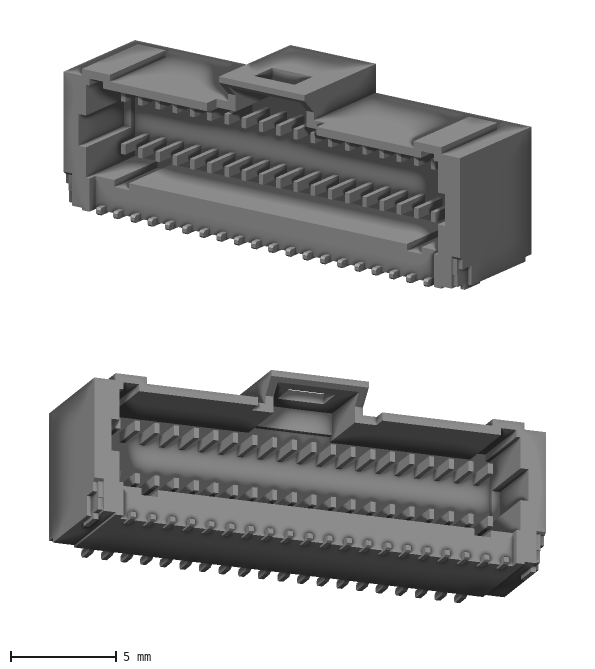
import cadquery as cq


length = 23.0
depth = 5.89
body_top = 6.8
body_bottom = 0.1
end_bottom = 0.2
end_step_width = 1.08
rear_notch_depth = 0.48
rear_notch_top = 0.44

cavity_width = 20.42
cavity_floor = 1.75
cavity_top = 6.4
cavity_depth = 4.05
side_groove_width = 21.25
side_groove_depth = 3.73
side_groove_bottom = 3.27
side_groove_top = 4.85
sill_recess = 0.5
sill_width = 20.0

rib_center = 9.61
rib_width = 1.6
rib_length = 4.6
rib_top = 7.15
keyway_width = 0.78
keyway_top = 6.75
floor_keyway_center = 8.49
floor_keyway_width = 0.85
floor_keyway_bottom = 1.4

tower_width = 4.97
tower_top = 8.25
lip_height = 0.3
undercut_depth = 0.75
tunnel_width = 4.15
tunnel_top = 7.75
tunnel_depth = 3.73
tunnel_step = 6.67
notch_width = 6.35
window_width = 2.35
window_front = 1.04
window_rear = 2.55

contact_count = 20
row_span = 19.0
pitch = row_span / (contact_count - 1)
contact_width = 0.25
pin_tip = 2.07
pin_height = 0.5
pin_bottoms = (2.5, 5.13)
pin_embed = 0.23
tail_height = 0.37
rear_tail_end = 6.5
tail_bend = 0.23
tail_bend_rise = 0.12
tail_chamfer = 0.1

pocket_width = 0.48
pocket_depth = 0.97
pocket_top = 1.2
slot_depth = 0.2
slot_top = 1.68
slot_chamfer = 0.14
nail_thickness = 0.25
nail_front = 0.14
hook_front = 0.07
hook_bottom = 0.9
plate_bottom = 0.3
foot_front = 0.71
foot_rear = 1.98
foot_height = 0.2


def block(x_range, y_range, z_range):
    """Axis-aligned box given by its limits along each axis."""
    size = [high - low for low, high in (x_range, y_range, z_range)]
    corner = (x_range[0], y_range[0], z_range[0])
    return cq.Workplane("XY").box(*size, centered=False).translate(corner)


def centered_block(width, y_range, z_range, center=0.0):
    """Box of the given width, centred at X = center."""
    return block((center - width / 2, center + width / 2), y_range, z_range)


def side_extrusion(points, width, center=0.0):
    """Extrude a (Y, Z) outline along X, centred at X = center."""
    solid = cq.Workplane("YZ").polyline(points).close().extrude(width / 2, both=True)
    return solid.translate((center, 0, 0))


def make_shell():
    """Outer block with its ribs, tower, raised ends and rear notch."""
    shell = centered_block(length, (0, depth), (body_bottom, body_top))
    shell = shell.union(centered_block(tower_width, (0, depth), (body_bottom, tower_top)))
    for side in (-1, 1):
        rib = centered_block(rib_width, (0, rib_length), (cavity_top, rib_top), side * rib_center)
        end_center = side * (length - end_step_width) / 2
        end_step = centered_block(end_step_width, (0, depth), (body_bottom, end_bottom), end_center)
        shell = shell.union(rib).cut(end_step)
    rear_notch = centered_block(length, (depth - rear_notch_depth, depth), (body_bottom, rear_notch_top))
    return shell.cut(rear_notch)


def cut_cavity(shell):
    """Open the mating cavity, its grooves and keyways, and set back the sill."""
    inside = (0, cavity_depth)
    shell = shell.cut(centered_block(cavity_width, inside, (cavity_floor, cavity_top)))
    groove_heights = (side_groove_bottom, side_groove_top)
    shell = shell.cut(centered_block(side_groove_width, (0, side_groove_depth), groove_heights))
    shell = shell.cut(centered_block(sill_width, (0, sill_recess), (body_bottom, cavity_floor)))
    for side in (-1, 1):
        top_keyway = centered_block(keyway_width, inside, (cavity_floor, keyway_top), side * rib_center)
        floor_keyway = centered_block(
            floor_keyway_width, inside, (floor_keyway_bottom, cavity_top), side * floor_keyway_center
        )
        shell = shell.cut(top_keyway).cut(floor_keyway)
    return shell


def cut_latch(shell):
    """Hollow the tower, undercut its front lip and cut the latch window."""
    lip_bottom = tower_top - lip_height
    undercut = [
        (0, cavity_floor),
        (undercut_depth, cavity_floor),
        (undercut_depth, lip_bottom - undercut_depth),
        (0, lip_bottom),
    ]
    shell = shell.cut(centered_block(tunnel_width, (0, tunnel_depth), (cavity_floor, tunnel_top)))
    shell = shell.cut(centered_block(tunnel_width, (0, cavity_depth), (cavity_floor, tunnel_step)))
    shell = shell.cut(side_extrusion(undercut, notch_width))
    return shell.cut(centered_block(window_width, (window_front, window_rear), (cavity_top, tower_top)))


def cut_nail_pockets(shell):
    """Cut the stepped pocket for a solder nail in each lower front corner."""
    outline = [
        (0, 0),
        (pocket_depth, 0),
        (pocket_depth, pocket_top),
        (slot_depth, pocket_top),
        (slot_depth, slot_top),
        (slot_chamfer, slot_top),
        (0, slot_top + slot_chamfer),
    ]
    for side in (-1, 1):
        shell = shell.cut(side_extrusion(outline, pocket_width, side * (length - pocket_width) / 2))
    return shell


def make_nail(side):
    """Upright plate with a front hook, and a foot behind it on the solder plane."""
    outline = [
        (foot_front, 0),
        (foot_rear, 0),
        (foot_rear, foot_height),
        (pocket_depth, foot_height),
        (pocket_depth, pocket_top),
        (slot_depth, pocket_top),
        (slot_depth, slot_top),
        (hook_front, slot_top),
        (hook_front, hook_bottom),
        (nail_front, hook_bottom),
        (nail_front, plate_bottom),
        (foot_front, plate_bottom),
    ]
    center = side * (length / 2 - pocket_width + nail_thickness / 2)
    return side_extrusion(outline, nail_thickness, center)


def make_contacts():
    """One column at X = 0: two pins, a front solder tail and a mirrored rear one."""
    column = cq.Workplane("XY")
    pin_range = (pin_tip, cavity_depth + pin_embed)
    for bottom in pin_bottoms:
        column = column.add(centered_block(contact_width, pin_range, (bottom, bottom + pin_height)))
    tail_root = depth - rear_notch_depth
    rear_tail = [
        (tail_root, tail_bend_rise),
        (tail_root + tail_bend, 0),
        (rear_tail_end - tail_chamfer, 0),
        (rear_tail_end, tail_chamfer),
        (rear_tail_end, tail_height - tail_chamfer),
        (rear_tail_end - tail_chamfer, tail_height),
        (tail_root, tail_height),
    ]
    front_tail = [(rear_tail_end - y, z) for y, z in rear_tail]
    for tail in (front_tail, rear_tail):
        column = column.add(side_extrusion(tail, contact_width))
    return column


housing = cut_nail_pockets(cut_latch(cut_cavity(make_shell())))
for nail_side in (-1, 1):
    housing = housing.union(make_nail(nail_side))

column_positions = [(index * pitch - row_span / 2, 0, 0) for index in range(contact_count)]
contact_parts = make_contacts().vals()
contacts = [part.translate(cq.Vector(*place)) for place in column_positions for part in contact_parts]

result = cq.Workplane(housing.val().fuse(*contacts))